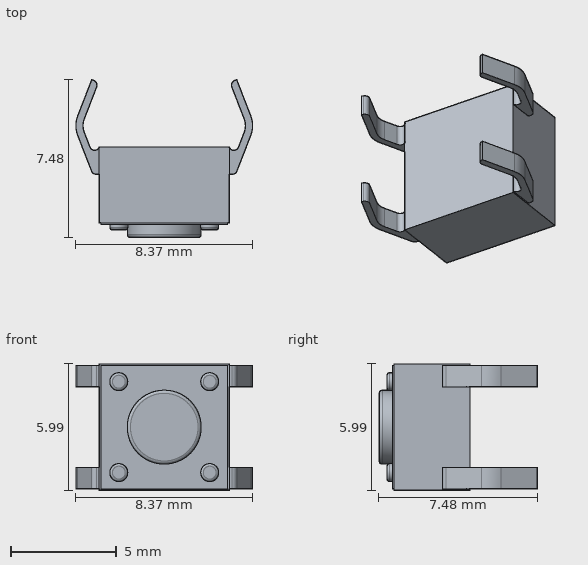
import cadquery as cq
import math


body_width = 6.15
body_depth = 3.6
body_height = 5.99

plate_border_x = 0.075
plate_border_z = 0.07
plate_thickness = 0.08
plate_width = body_width - 2 * plate_border_x
plate_height = body_height - 2 * plate_border_z

button_diameter = 3.5
button_height = 0.7
button_fillet = 0.15
rivet_diameter = 0.85
rivet_height = 0.33
rivet_fillet = 0.12
rivet_offset = 2.15

leg_span = 8.37
leg_thickness = 0.35
leg_width = 1.025
leg_angle = 21.2
leg_bend_radius = 1.25
leg_bend_y = 1.0
leg_tip_y = 3.18
leg_tip_radius = 0.25
leg_root_y = -1.305
leg_root_radius = 0.25
leg_outer_z = plate_height / 2
notch_depth = 0.16
notch_end_y = -0.02

body_front_y = -body_depth


def front_disc(x, z, diameter, height, fillet):
    """Disc standing on the housing front with a rounded rim."""
    disc = cq.Workplane("XZ", origin=(x, body_front_y, z)).circle(diameter / 2).extrude(height)
    return disc.faces("<Y").edges().fillet(fillet)


def make_housing():
    body = cq.Workplane("XY").box(body_width, body_depth, body_height).translate((0, body_front_y / 2, 0))
    plate = cq.Workplane("XY").box(plate_width, plate_thickness, plate_height)
    return body.union(plate.translate((0, body_front_y - plate_thickness / 2, 0)))


def make_leg(bottom_z):
    """Leg on the +X side, with its lower edge at bottom_z."""
    sine = math.sin(math.radians(leg_angle))
    cosine = math.cos(math.radians(leg_angle))
    slope = sine / cosine
    side_x = body_width / 2
    inner_bend_radius = leg_bend_radius - leg_thickness
    bend_x = leg_span / 2 - leg_bend_radius

    def bend_point(radius, side):
        return (bend_x + radius * cosine, leg_bend_y + side * radius * sine)

    def straight_x(radius, y):
        """X of the straight stretch tangent to the bend, at the given Y."""
        start_x, start_y = bend_point(radius, 1)
        return start_x - slope * (abs(y - leg_bend_y) - (start_y - leg_bend_y))

    tip_outer = (straight_x(leg_bend_radius, leg_tip_y), leg_tip_y)
    tip_inner = (tip_outer[0] - leg_thickness * cosine, tip_outer[1] - leg_thickness * sine)
    root_outer = (straight_x(leg_bend_radius, leg_root_y), leg_root_y)
    notch_start = (straight_x(inner_bend_radius, 0), 0)
    notch_bottom = ((notch_start[0] + side_x) / 2, -notch_depth)

    leg = (
        cq.Workplane("XY", origin=(0, 0, bottom_z))
        .moveTo(side_x, leg_root_y)
        .lineTo(*root_outer)
        .lineTo(*bend_point(leg_bend_radius, -1))
        .threePointArc((bend_x + leg_bend_radius, leg_bend_y), bend_point(leg_bend_radius, 1))
        .lineTo(*tip_outer)
        .lineTo(*tip_inner)
        .lineTo(*bend_point(inner_bend_radius, 1))
        .threePointArc((bend_x + inner_bend_radius, leg_bend_y), bend_point(inner_bend_radius, -1))
        .lineTo(*notch_start)
        .threePointArc(notch_bottom, (side_x, notch_end_y))
        .close()
        .extrude(leg_width)
    )

    def upright_edge(point):
        return cq.selectors.NearestToPointSelector((*point, bottom_z + leg_width / 2))

    leg = leg.edges(upright_edge(root_outer)).fillet(leg_root_radius)
    return leg.edges(upright_edge(tip_inner)).fillet(leg_tip_radius)


result = make_housing()
result = result.union(front_disc(0, 0, button_diameter, button_height, button_fillet))
for x in (-rivet_offset, rivet_offset):
    for z in (-rivet_offset, rivet_offset):
        result = result.union(front_disc(x, z, rivet_diameter, rivet_height, rivet_fillet))
for bottom_z in (-leg_outer_z, leg_outer_z - leg_width):
    right_leg = make_leg(bottom_z)
    result = result.union(right_leg).union(right_leg.mirror("YZ"))